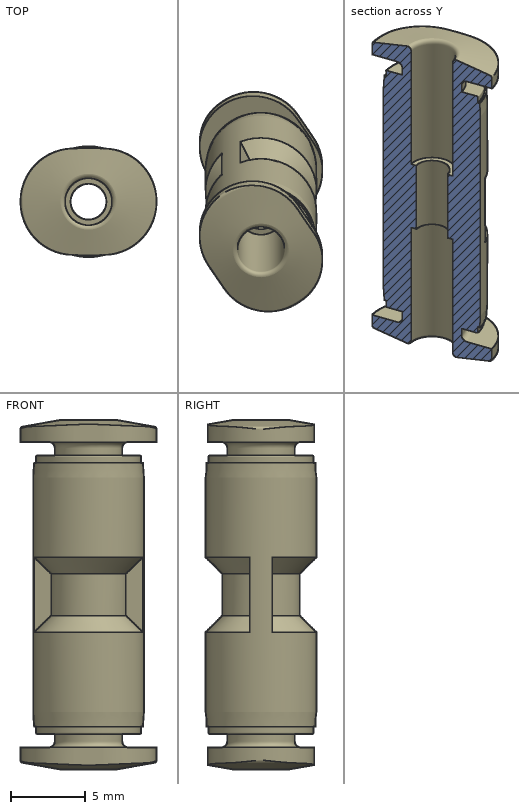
import cadquery as cq
import math

half_height = 23.6 / 2

button_length = 9.2
button_width = 7.2
button_thickness = 1.5
button_cone_angle = 10.0
button_rim_fillet = 0.2
button_base_z = half_height - button_thickness

neck_radius = 4.58 / 2
neck_fillet = 0.4

collar_radius = 7.1 / 2
collar_top_z = 9.4
collar_edge_fillet = 0.1
body_radius = 7.5 / 2
body_taper_angle = 4.0
body_top_z = 8.9
body_taper_length = 1.0
body_tip_radius = body_radius - body_taper_length * math.tan(math.radians(body_taper_angle))
barrel_half_length = body_top_z - body_taper_length

waist_radius = 5.25 / 2
waist_half_opening = 2.53
waist_half_length = waist_half_opening - (body_radius - waist_radius)
web_thickness = 1.5
groove_overrun = 0.5

tube_bore_radius = 3.17 / 2
tube_bore_stop_z = waist_half_opening
mouth_fillet = 0.3
through_bore_radius = 2.4 / 2

ARC_MID_RATIO = 1 - math.sqrt(0.5)


def mirrored_pair(upper):
    """Return the upper shape together with its mirror image below Z = 0."""
    return upper.union(upper.mirror("XY"))


def make_button():
    """Domed disc with a rounded rim, trimmed to an oval."""
    rim_radius = button_length / 2
    mouth_radius = tube_bore_radius + mouth_fillet
    cone_drop = (rim_radius - mouth_radius) * math.tan(math.radians(button_cone_angle))
    rim_z = half_height - cone_drop
    disc = (
        cq.Workplane("XZ")
        .moveTo(0, button_base_z)
        .lineTo(rim_radius, button_base_z)
        .lineTo(rim_radius, rim_z)
        .lineTo(mouth_radius, half_height)
        .lineTo(0, half_height)
        .close()
        .revolve(360, (0, 0, 0), (0, 1, 0))
    )
    rim_edge = cq.selectors.BoxSelector(
        (-button_length, -button_length, rim_z - button_rim_fillet),
        (button_length, button_length, rim_z + button_rim_fillet),
    )
    disc = disc.edges(rim_edge).fillet(button_rim_fillet)
    oval = (
        cq.Workplane("XY")
        .workplane(offset=button_base_z)
        .slot2D(button_length, button_width)
        .extrude(button_thickness)
    )
    return disc.intersect(oval)


def make_turned_end():
    """Upper body taper, collar and neck as one turned shape."""
    neck_mid_offset = neck_fillet * ARC_MID_RATIO
    collar_mid_offset = collar_edge_fillet * ARC_MID_RATIO
    return (
        cq.Workplane("XZ")
        .moveTo(0, barrel_half_length)
        .lineTo(body_radius, barrel_half_length)
        .lineTo(body_tip_radius, body_top_z)
        .lineTo(collar_radius, body_top_z)
        .lineTo(collar_radius, collar_top_z - collar_edge_fillet)
        .threePointArc(
            (collar_radius - collar_mid_offset, collar_top_z - collar_mid_offset),
            (collar_radius - collar_edge_fillet, collar_top_z),
        )
        .lineTo(neck_radius, collar_top_z)
        .lineTo(neck_radius, button_base_z - neck_fillet)
        .threePointArc(
            (neck_radius + neck_mid_offset, button_base_z - neck_mid_offset),
            (neck_radius + neck_fillet, button_base_z),
        )
        .lineTo(0, button_base_z)
        .close()
        .revolve(360, (0, 0, 0), (0, 1, 0))
    )


def make_barrel():
    """Central cylinder with the waist groove cut away on both sides of a flat web."""
    barrel = cq.Workplane("XY").cylinder(2 * barrel_half_length, body_radius)
    groove_outer_radius = body_radius + groove_overrun
    groove_outer_z = waist_half_opening + groove_overrun
    groove = (
        cq.Workplane("XZ")
        .moveTo(waist_radius, -waist_half_length)
        .lineTo(groove_outer_radius, -groove_outer_z)
        .lineTo(groove_outer_radius, groove_outer_z)
        .lineTo(waist_radius, waist_half_length)
        .close()
        .revolve(360, (0, 0, 0), (0, 1, 0))
    )
    web = cq.Workplane("XY").box(2 * groove_outer_radius, web_thickness, 2 * groove_outer_z)
    return barrel.cut(groove.cut(web))


def make_tube_bore():
    """Blind bore for the tube, with a rounded mouth."""
    mouth_mid_offset = mouth_fillet * ARC_MID_RATIO
    return (
        cq.Workplane("XZ")
        .moveTo(0, tube_bore_stop_z)
        .lineTo(tube_bore_radius, tube_bore_stop_z)
        .lineTo(tube_bore_radius, half_height - mouth_fillet)
        .threePointArc(
            (tube_bore_radius + mouth_mid_offset, half_height - mouth_mid_offset),
            (tube_bore_radius + mouth_fillet, half_height),
        )
        .lineTo(0, half_height)
        .close()
        .revolve(360, (0, 0, 0), (0, 1, 0))
    )


through_bore = cq.Workplane("XY").cylinder(2 * half_height, through_bore_radius)

result = (
    make_barrel()
    .union(mirrored_pair(make_turned_end().union(make_button())))
    .cut(mirrored_pair(make_tube_bore()))
    .cut(through_bore)
)